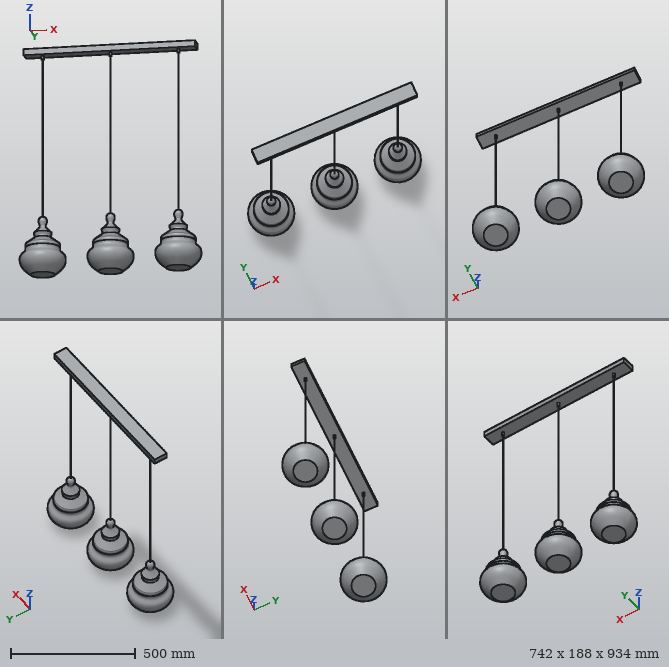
import cadquery as cq

total_height = 934.0
pendant_count = 3
pendant_pitch = 277.0

bar_length = 701.0
bar_width = 60.0
bar_height = 25.0
bar_bottom = total_height - bar_height

grip_radius = 5.1
grip_length = 15.0
cord_radius = 1.4

belly_diameter = 188.0
belly_radius = belly_diameter / 2
tip_radius = 18.0
neck_radius = 12.0
cap_radius = 36.0
waist_radius = 33.0
roof_top_radius = 35.0
shoulder_radius = 67.0
bead_radius = 71.0
collar_radius = 71.0
mouth_radius = 49.0

shade_top = 241.0
tip_height = 223.0
neck_height = 201.0
cap_top = 174.0
waist_height = 161.0
roof_top_height = 153.0
shoulder_height = 129.0
groove_height = 112.0
collar_foot = 100.0
belly_height = 61.0

groove_depth = 2.0

cap_hollow = (21.0, 189.0)
cap_underside = (35.5, 167.0)
tip_underside = (15.0, 211.0)
bead_swell = (bead_radius, (shoulder_height + groove_height) / 2)
collar_flare = (73.0, 95.0)
upper_belly = (87.0, 82.0)
lower_belly = (81.0, 29.0)

straight_up = (0, 1)
inward = (1, 0)
mouth_slope = (-1, 0.7)
cap_slope = (1, 0.6)
waist_slope = (1, 1)


def left(radius, height):
    """A point of the shade outline, which is drawn on the -X side of its axis."""
    return (-radius, height)


def make_bar():
    """The ceiling bar, a plain block centred over the pendants."""
    return cq.Workplane("XY").workplane(offset=bar_bottom).box(
        bar_length, bar_width, bar_height, centered=(True, True, False)
    )


def make_shade():
    """The turned shade, revolved from its outline."""
    outline = (
        cq.Workplane("XZ")
        .moveTo(0, 0)
        .lineTo(*left(mouth_radius, 0))
        .spline(
            [left(*lower_belly), left(belly_radius, belly_height), left(*upper_belly),
             left(*collar_flare), left(collar_radius, collar_foot),
             left(collar_radius, groove_height)],
            tangents=[mouth_slope, straight_up],
            includeCurrent=True,
        )
        .lineTo(*left(collar_radius - groove_depth, groove_height))
        .threePointArc(left(*bead_swell), left(shoulder_radius, shoulder_height))
        .lineTo(*left(roof_top_radius, roof_top_height))
        .spline(
            [left(waist_radius, waist_height), left(*cap_underside),
             left(cap_radius, cap_top)],
            tangents=[waist_slope, straight_up],
            includeCurrent=True,
        )
        .spline(
            [left(*cap_hollow), left(neck_radius, neck_height), left(*tip_underside),
             left(tip_radius, tip_height), (0, shade_top)],
            tangents=[cap_slope, inward],
            includeCurrent=True,
        )
        .close()
    )
    return outline.revolve(360, (0, 0, 0), (0, 1, 0))


def make_pendant():
    """Shade, cord and grip as one solid on the Z axis."""
    cord_length = bar_bottom - belly_height
    cord = cq.Workplane("XY").workplane(offset=belly_height).circle(cord_radius).extrude(cord_length)
    grip = cq.Workplane("XY").workplane(offset=bar_bottom).circle(grip_radius).extrude(-grip_length)
    return make_shade().union(cord).union(grip)


bar = make_bar()
pendants = []
for index in range(pendant_count):
    offset = (index - (pendant_count - 1) / 2) * pendant_pitch
    pendants.append(make_pendant().translate((offset, 0, 0)).val())

result = cq.Compound.makeCompound([bar.val(), *pendants])